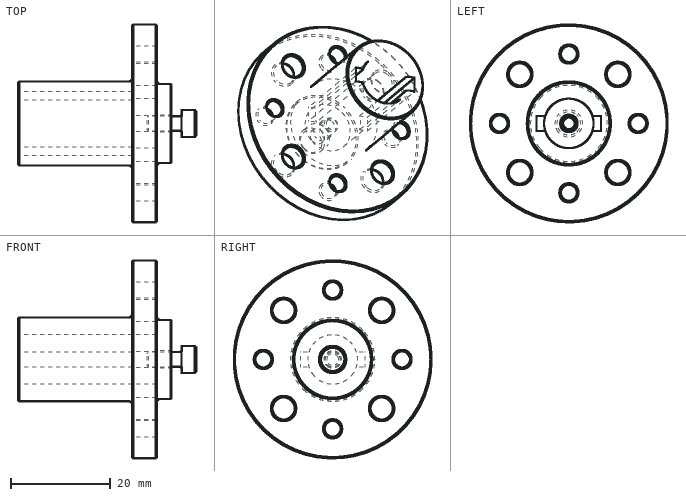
import cadquery as cq
import math

FLANGE_START = 23.0
FLANGE_THICKNESS = 5.0
FLANGE_END = FLANGE_START + FLANGE_THICKNESS
BOSS_HEIGHT = 3.0
BOSS_END = FLANGE_END + BOSS_HEIGHT
SCREW_END = 36.0
HEAD_HEIGHT = 3.0
HEAD_START = SCREW_END - HEAD_HEIGHT

FLANGE_DIAMETER = 40.0
TUBE_DIAMETER = 17.0
BOSS_DIAMETER = 16.0
EDGE_CHAMFER = 0.3
ROOT_RADIUS = 0.6
BORE_DIAMETER = 10.0
BORE_DEPTH = FLANGE_END
BORE_MOUTH_RADIUS = 0.6
KEYWAY_SPAN = 13.0
KEYWAY_WIDTH = 3.0
KEYWAY_DEPTH = FLANGE_START
SCREW_HOLE_DIAMETER = 3.5

BOLT_CIRCLE_RADIUS = 14.0
HOLES_PER_SIZE = 4
SMALL_HOLE_DIAMETER = 3.25
LARGE_HOLE_DIAMETER = 4.5
HOLE_CHAMFER = 0.3

SHANK_DIAMETER = 3.0
SHANK_START = 26.0
SHANK_TIP_CHAMFER = 0.3
HEAD_DIAMETER = 5.5
HEAD_CHAMFER = 0.4
FLARE_LENGTH = 0.5
FLARE_DIAMETER = 3.25
HEAD_UNDERSIDE_FILLET = 0.1


def cylinder(diameter, start, end):
    """Cylinder on the X axis between two axial stations."""
    return cq.Workplane("YZ", origin=(start, 0, 0)).circle(diameter / 2).extrude(end - start)


def flange_hole(diameter, angle):
    """Through hole with a chamfered edge on both flange faces."""
    y = BOLT_CIRCLE_RADIUS * math.cos(math.radians(angle))
    z = BOLT_CIRCLE_RADIUS * math.sin(math.radians(angle))
    radius = diameter / 2
    mouth_radius = radius + HOLE_CHAMFER
    profile = [
        (FLANGE_START, 0),
        (FLANGE_START, mouth_radius),
        (FLANGE_START + HOLE_CHAMFER, radius),
        (FLANGE_END - HOLE_CHAMFER, radius),
        (FLANGE_END, mouth_radius),
        (FLANGE_END, 0),
    ]
    hole = cq.Workplane("XY").polyline(profile).close().revolve(360, (0, 0, 0), (1, 0, 0))
    return hole.translate((0, y, z))


def outer_body():
    """Tube, flange and boss as one turned shape with concave root fillets."""
    tube_radius = TUBE_DIAMETER / 2
    flange_radius = FLANGE_DIAMETER / 2
    boss_radius = BOSS_DIAMETER / 2
    bend = ROOT_RADIUS * (1 - math.sqrt(0.5))
    return (
        cq.Workplane("XY")
        .moveTo(0, 0)
        .lineTo(0, tube_radius - EDGE_CHAMFER)
        .lineTo(EDGE_CHAMFER, tube_radius)
        .lineTo(FLANGE_START - ROOT_RADIUS, tube_radius)
        .threePointArc((FLANGE_START - bend, tube_radius + bend), (FLANGE_START, tube_radius + ROOT_RADIUS))
        .lineTo(FLANGE_START, flange_radius - EDGE_CHAMFER)
        .lineTo(FLANGE_START + EDGE_CHAMFER, flange_radius)
        .lineTo(FLANGE_END - EDGE_CHAMFER, flange_radius)
        .lineTo(FLANGE_END, flange_radius - EDGE_CHAMFER)
        .lineTo(FLANGE_END, boss_radius + ROOT_RADIUS)
        .threePointArc((FLANGE_END + bend, boss_radius + bend), (FLANGE_END + ROOT_RADIUS, boss_radius))
        .lineTo(BOSS_END - EDGE_CHAMFER, boss_radius)
        .lineTo(BOSS_END, boss_radius - EDGE_CHAMFER)
        .lineTo(BOSS_END, 0)
        .close()
        .revolve(360, (0, 0, 0), (1, 0, 0))
    )


def make_housing():
    body = outer_body()

    body = body.cut(cylinder(BORE_DIAMETER, 0, BORE_DEPTH))
    body = body.faces("<X").edges("%CIRCLE").edges(cq.selectors.RadiusNthSelector(0)).fillet(BORE_MOUTH_RADIUS)
    body = body.cut(cylinder(SCREW_HOLE_DIAMETER, BORE_DEPTH, BOSS_END))

    keyways = cq.Workplane("YZ").rect(KEYWAY_SPAN, KEYWAY_WIDTH).extrude(KEYWAY_DEPTH)
    body = body.cut(keyways)

    spacing = 360 / HOLES_PER_SIZE
    for index in range(HOLES_PER_SIZE):
        body = body.cut(flange_hole(SMALL_HOLE_DIAMETER, index * spacing))
        body = body.cut(flange_hole(LARGE_HOLE_DIAMETER, (index + 0.5) * spacing))
    return body


def make_screw():
    """Cap screw turned from one profile, with a shallow flare under the head."""
    shank_radius = SHANK_DIAMETER / 2
    head_radius = HEAD_DIAMETER / 2
    flare_radius = FLARE_DIAMETER / 2
    profile = (
        cq.Workplane("XY")
        .moveTo(SHANK_START, 0)
        .lineTo(SHANK_START, shank_radius - SHANK_TIP_CHAMFER)
        .lineTo(SHANK_START + SHANK_TIP_CHAMFER, shank_radius)
        .lineTo(HEAD_START - FLARE_LENGTH, shank_radius)
        .tangentArcPoint((HEAD_START, flare_radius), relative=False)
        .lineTo(HEAD_START, head_radius - HEAD_UNDERSIDE_FILLET)
        .radiusArc((HEAD_START + HEAD_UNDERSIDE_FILLET, head_radius), HEAD_UNDERSIDE_FILLET)
        .lineTo(SCREW_END - HEAD_CHAMFER, head_radius)
        .lineTo(SCREW_END, head_radius - HEAD_CHAMFER)
        .lineTo(SCREW_END, 0)
        .close()
    )
    return profile.revolve(360, (0, 0, 0), (1, 0, 0))


housing = make_housing()
screw = make_screw()

result = cq.Compound.makeCompound([housing.val(), screw.val()])